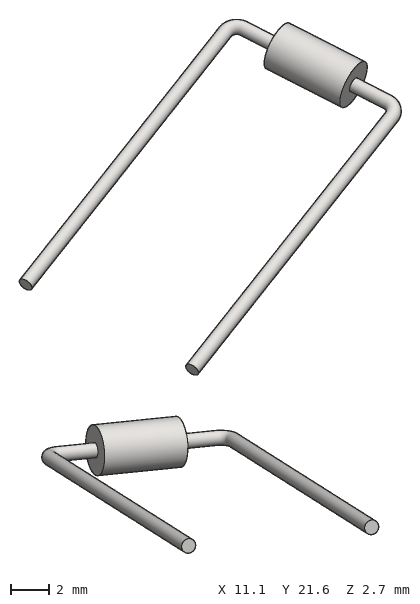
import cadquery as cq

total_length = 21.57
total_width = 11.13
body_diameter = 2.7
body_length = 4.7

wire_diameter = 0.8
bend_radius = 0.71

lead_x = (total_width - wire_diameter) / 2
body_end_x = body_length / 2
bend_start_x = lead_x - bend_radius
tip_y = body_diameter / 2 - total_length


def make_body():
    """Plain cylinder, centred on the origin with its axis along X."""
    end_face = cq.Workplane("YZ", origin=(-body_end_x, 0, 0))
    return end_face.circle(body_diameter / 2).extrude(body_length)


def make_lead(side):
    """Round wire from one body end (side = -1 or 1), bent a quarter turn toward -Y."""
    centreline = (
        cq.Workplane("XY")
        .moveTo(side * body_end_x, 0)
        .lineTo(side * bend_start_x, 0)
        .tangentArcPoint((side * lead_x, -bend_radius), relative=False)
        .lineTo(side * lead_x, tip_y)
    )
    end_face = cq.Workplane("YZ", origin=(side * body_end_x, 0, 0))
    return end_face.circle(wire_diameter / 2).sweep(centreline)


body = make_body()
leads = [make_lead(side) for side in (-1, 1)]

result = cq.Compound.makeCompound([body.val(), *[lead.val() for lead in leads]])